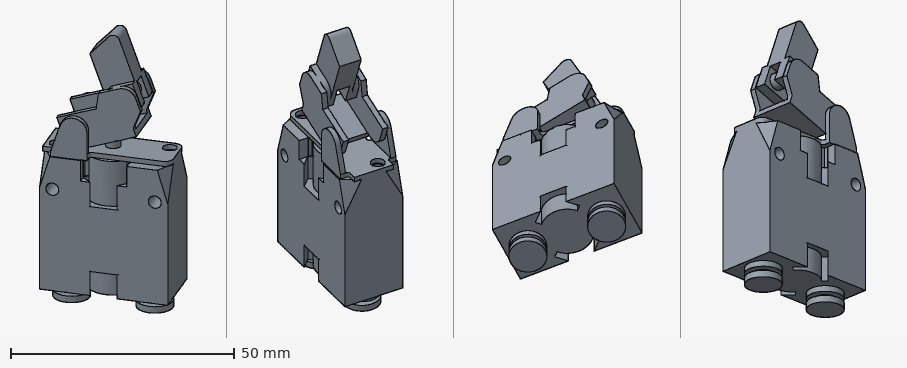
import cadquery as cq
import math

BODY_LENGTH = 30.0
BODY_DEPTH = 15.0
BODY_HEIGHT = 32.95

BEVEL_X = 2.45
BEVEL_Y = 4.3
BEVEL_Z = 8.05

CORE_RADIUS = 6.05
POCKET_MOUTH = 6.3
POCKET_WIDEST = 10.9
POCKET_FLOOR_Z = 21.9
BOTTOM_POCKET_HEIGHT = 5.9
RECESS_WIDTH = 10.8
RECESS_FLOOR_Z = 27.9
RECESS_BACK_Y = 4.1

CROSS_HOLE_DIAMETER = 3.0
CROSS_HOLE_X = 12.0
CROSS_HOLE_Z = 25.0

SCREW_HOLE_DIAMETER = 2.45
SCREW_CLEARANCE_DIAMETER = 3.25
SCREW_HOLE_DEPTH = 6.85
SCREW_X = 12.5
SCREW_Y = 2.45

FITTING_X = 9.7
FLANGE_DIAMETER = 8.5
NECK_DIAMETER = 5.0
UPPER_FLANGE_HEIGHT = 1.4
NECK_HEIGHT = 1.0
LOWER_FLANGE_HEIGHT = 1.6

PLATE_THICKNESS = 1.2
PLATE_WIDTH = 10.1
PLATE_CORNER_RADIUS = 2.0
LUG_OUTER_Y = 7.2
LUG_THICKNESS = 1.3
LUG_LEFT_X = -12.5
LUG_RADIUS = 3.25
LUG_AXIS_X = -7.25
LUG_AXIS_Z = 39.7
LUG_LEFT_FILLET = 0.5
LUG_RIGHT_FILLET = 0.7
LUG_RIGHT_X = LUG_AXIS_X + LUG_RADIUS
LUG_INNER_Y = LUG_OUTER_Y - LUG_THICKNESS
PLATE_TOP_Z = BODY_HEIGHT + PLATE_THICKNESS

PLUNGER_DIAMETER = 3.5
DOME_RADIUS = 2.1

LEVER_TILT = 20.0
LEVER_ORIGIN_X = 2.2
LEVER_ORIGIN_Z = 47.4
LEVER_HALF_WIDTH = 5.8
CHEEK_THICKNESS = 1.4
LEVER_SHIFT_Y = LUG_INNER_Y - LEVER_HALF_WIDTH

HUB_RADIUS = 3.05
FINGER_PIN_U = 2.0
FINGER_PIN_DIAMETER = 4.0

LEVER_BOTTOM_V = -8.9
BASE_THICKNESS = 1.45
BASE_TOP_V = LEVER_BOTTOM_V + BASE_THICKNESS
BASE_LEFT_U = -10.05
BASE_RIGHT_U = 2.0

CHEEK_LEFT_U = -14.7
CHEEK_LEDGE_V = -0.4
CHEEK_STEP_U = -4.9
CHEEK_HEEL_RADIUS = 3.45
CHEEK_NOSE_U = FINGER_PIN_U + HUB_RADIUS
CHEEK_NOSE_V = -3.3
CHEEK_NOTCH_V = -6.8
CHEEK_NOTCH_FILLET = 0.65

FINGER_RIGHT_U = 4.9
FINGER_BOTTOM_V = -2.85
FINGER_WIDTH = 5.6
FINGER_SHOULDER_V = 11.65
FINGER_TIP_ANGLE = 27.0
FINGER_TIP_RADIUS = 1.45
FINGER_SLOT_WIDTH = 3.2
FINGER_SLOT_TOP_V = 2.4


def make_block():
    """Housing block with its four top corners bevelled."""
    block = cq.Workplane("XY").box(BODY_LENGTH, BODY_DEPTH, BODY_HEIGHT, centered=(True, True, False))
    for side_x in (-1, 1):
        for side_y in (-1, 1):
            corner = cq.Vector(side_x * BODY_LENGTH / 2, side_y * BODY_DEPTH / 2, BODY_HEIGHT)
            along_x = corner - cq.Vector(side_x * BEVEL_X, 0, 0)
            along_y = corner - cq.Vector(0, side_y * BEVEL_Y, 0)
            down = corner - cq.Vector(0, 0, BEVEL_Z)
            block = block.cut(make_tetrahedron(corner, along_x, along_y, down))
    return block


def make_tetrahedron(a, b, c, d):
    """Solid with the four given corner points."""
    triangles = [(a, b, c), (a, b, d), (a, c, d), (b, c, d)]
    faces = [cq.Face.makeFromWires(cq.Wire.makePolygon(points, close=True)) for points in triangles]
    return cq.Workplane(obj=cq.Solid.makeSolid(cq.Shell.makeShell(faces)))


def make_flared_pocket(bottom_z, top_z):
    """Cutter that widens at 45 degrees behind its mouth on the -Y face, then narrows again."""
    mouth_x = POCKET_MOUTH / 2
    mouth_y = -BODY_DEPTH / 2
    wide_x = POCKET_WIDEST / 2
    wide_y = mouth_y + (wide_x - mouth_x)
    back_x = wide_x - (-RECESS_BACK_Y - wide_y)
    right_side = [(mouth_x, mouth_y), (wide_x, wide_y), (back_x, -RECESS_BACK_Y)]
    left_side = [(-x, y) for x, y in reversed(right_side)]
    outline = cq.Workplane("XY").workplane(offset=bottom_z).polyline(right_side + left_side).close()
    return outline.extrude(top_z - bottom_z)


def make_face_pockets():
    """Pockets and recess of the -Y face, leaving the round core standing in them."""
    recess_depth = BODY_DEPTH / 2 - RECESS_BACK_Y
    recess = cq.Workplane("XY").box(
        RECESS_WIDTH, recess_depth, BODY_HEIGHT - RECESS_FLOOR_Z, centered=(True, False, False)
    ).translate((0, -BODY_DEPTH / 2, RECESS_FLOOR_Z))
    core = cq.Workplane("XY").circle(CORE_RADIUS).extrude(BODY_HEIGHT)
    top_pocket = make_flared_pocket(POCKET_FLOOR_Z, BODY_HEIGHT).union(recess)
    bottom_pocket = make_flared_pocket(0, BOTTOM_POCKET_HEIGHT)
    return top_pocket.union(bottom_pocket).cut(core)


def make_housing():
    """Block with its pockets, cross holes and screw holes."""
    front_pockets = make_face_pockets()
    housing = make_block().cut(front_pockets).cut(front_pockets.mirror("XZ"))
    cross_holes = (
        cq.Workplane("XZ")
        .pushPoints([(-CROSS_HOLE_X, CROSS_HOLE_Z), (CROSS_HOLE_X, CROSS_HOLE_Z)])
        .circle(CROSS_HOLE_DIAMETER / 2)
        .extrude(BODY_DEPTH, both=True)
    )
    screw_holes = (
        cq.Workplane("XY", origin=(0, 0, BODY_HEIGHT))
        .pushPoints([(-SCREW_X, -SCREW_Y), (SCREW_X, SCREW_Y)])
        .circle(SCREW_HOLE_DIAMETER / 2)
        .extrude(-SCREW_HOLE_DEPTH)
    )
    return housing.cut(cross_holes).cut(screw_holes)


def make_fitting(x):
    """Grooved fitting under the housing."""
    fitting = cq.Workplane("XY", origin=(x, 0, 0)).circle(FLANGE_DIAMETER / 2).extrude(-UPPER_FLANGE_HEIGHT)
    fitting = fitting.faces("<Z").workplane().circle(NECK_DIAMETER / 2).extrude(NECK_HEIGHT)
    return fitting.faces("<Z").workplane().circle(FLANGE_DIAMETER / 2).extrude(LOWER_FLANGE_HEIGHT)


def make_plate():
    """Top plate, widened to the lugs, with the screw clearance holes."""
    half_width = PLATE_WIDTH / 2
    plane = cq.Workplane("XY", origin=(0, 0, BODY_HEIGHT))
    plate = plane.rect(BODY_LENGTH, PLATE_WIDTH).extrude(PLATE_THICKNESS)
    plate = plate.edges("|Z and >X").fillet(PLATE_CORNER_RADIUS)
    lug_strip = (
        plane.moveTo(LUG_LEFT_X - LUG_LEFT_FILLET, half_width)
        .radiusArc((LUG_LEFT_X, half_width + LUG_LEFT_FILLET), -LUG_LEFT_FILLET)
        .lineTo(LUG_LEFT_X, LUG_INNER_Y)
        .lineTo(LUG_RIGHT_X, LUG_INNER_Y)
        .lineTo(LUG_RIGHT_X, half_width + LUG_RIGHT_FILLET)
        .radiusArc((LUG_RIGHT_X + LUG_RIGHT_FILLET, half_width), -LUG_RIGHT_FILLET)
        .lineTo(LUG_RIGHT_X, 0)
        .lineTo(LUG_LEFT_X, 0)
        .close()
        .extrude(PLATE_THICKNESS)
    )
    plate = plate.union(lug_strip).union(lug_strip.mirror("XZ"))
    screw_clearance = (
        plane.pushPoints([(-SCREW_X, -SCREW_Y), (SCREW_X, SCREW_Y)])
        .circle(SCREW_CLEARANCE_DIAMETER / 2)
        .extrude(PLATE_THICKNESS)
    )
    return plate.cut(screw_clearance)


def make_lug():
    """Upright lug at -Y: a round top whose left side slopes tangentially to the plate's top."""
    foot_x = LUG_LEFT_X - LUG_AXIS_X
    foot_z = PLATE_TOP_Z - LUG_AXIS_Z
    foot_distance = math.hypot(foot_x, foot_z)
    tangent_angle = math.atan2(foot_z, foot_x) - math.acos(LUG_RADIUS / foot_distance)
    tangent_x = LUG_AXIS_X + LUG_RADIUS * math.cos(tangent_angle)
    tangent_z = LUG_AXIS_Z + LUG_RADIUS * math.sin(tangent_angle)
    return (
        cq.Workplane("XZ", origin=(0, -LUG_INNER_Y, 0))
        .moveTo(LUG_LEFT_X, BODY_HEIGHT)
        .lineTo(LUG_RIGHT_X, BODY_HEIGHT)
        .lineTo(LUG_RIGHT_X, LUG_AXIS_Z)
        .threePointArc((LUG_AXIS_X, LUG_AXIS_Z + LUG_RADIUS), (tangent_x, tangent_z))
        .lineTo(LUG_LEFT_X, PLATE_TOP_Z)
        .close()
        .extrude(LUG_THICKNESS)
    )


def make_bracket():
    """Plate with a lug on each side."""
    lug = make_lug()
    return make_plate().union(lug).union(lug.mirror("XZ"))


def make_plunger():
    """Plunger that stands on the plate, with a dome that just touches the underside of the lever's base."""
    tilt = math.radians(LEVER_TILT)
    base_height = LEVER_ORIGIN_Z - LEVER_ORIGIN_X * math.tan(tilt) + LEVER_BOTTOM_V / math.cos(tilt)
    dome_centre_z = base_height - DOME_RADIUS / math.cos(tilt)
    rim_radius = PLUNGER_DIAMETER / 2
    rim_z = dome_centre_z + math.sqrt(DOME_RADIUS**2 - rim_radius**2)
    stem = cq.Workplane("XY", origin=(0, 0, PLATE_TOP_Z)).circle(rim_radius).extrude(rim_z - PLATE_TOP_Z)
    dome_blank = cq.Workplane("XY", origin=(0, 0, rim_z)).circle(rim_radius).extrude(DOME_RADIUS)
    ball = cq.Workplane("XY", origin=(0, 0, dome_centre_z)).sphere(DOME_RADIUS)
    return stem.union(dome_blank.intersect(ball))


def make_valve_body():
    """Housing, fittings, bracket and plunger as one solid."""
    valve = make_housing().union(make_bracket()).union(make_plunger())
    for x in (-FITTING_X, FITTING_X):
        valve = valve.union(make_fitting(x))
    return valve


def lever_plane(distance=0.0):
    """Plane with axes u and v, moved towards -Y from the lever's middle by the given distance."""
    tilt = math.radians(LEVER_TILT)
    return cq.Workplane(
        cq.Plane(
            origin=(LEVER_ORIGIN_X, LEVER_SHIFT_Y - distance, LEVER_ORIGIN_Z),
            xDir=(math.cos(tilt), 0, math.sin(tilt)),
            normal=(0, -1, 0),
        )
    )


def make_cheek(distance):
    """Side plate of the lever, whose +Y face is at the given distance from the lever's middle."""
    heel_u = CHEEK_LEFT_U + CHEEK_HEEL_RADIUS
    heel_top_v = BASE_TOP_V + CHEEK_HEEL_RADIUS
    cheek = (
        lever_plane(distance)
        .moveTo(BASE_LEFT_U, LEVER_BOTTOM_V)
        .lineTo(BASE_RIGHT_U, LEVER_BOTTOM_V)
        .lineTo(BASE_RIGHT_U, CHEEK_NOTCH_V)
        .lineTo(CHEEK_NOSE_U, CHEEK_NOSE_V)
        .lineTo(CHEEK_NOSE_U, 0)
        .radiusArc((FINGER_PIN_U, HUB_RADIUS), -HUB_RADIUS)
        .lineTo(-HUB_RADIUS, HUB_RADIUS)
        .lineTo(CHEEK_STEP_U, CHEEK_LEDGE_V)
        .lineTo(CHEEK_LEFT_U, CHEEK_LEDGE_V)
        .lineTo(CHEEK_LEFT_U, heel_top_v)
        .radiusArc((heel_u, BASE_TOP_V), -CHEEK_HEEL_RADIUS)
        .lineTo(BASE_LEFT_U, BASE_TOP_V)
        .close()
        .extrude(CHEEK_THICKNESS)
    )
    mid_plane = lever_plane(distance + CHEEK_THICKNESS / 2).plane
    notch_point = mid_plane.toWorldCoords((BASE_RIGHT_U, CHEEK_NOTCH_V))
    return cheek.edges(cq.NearestToPointSelector(notch_point)).fillet(CHEEK_NOTCH_FILLET)


def make_finger():
    """Finger with its wider hub between the cheeks, slotted from below around its pin."""
    inner_half_width = LEVER_HALF_WIDTH - CHEEK_THICKNESS
    tip_angle = math.radians(FINGER_TIP_ANGLE)
    tip_v = FINGER_SHOULDER_V + (FINGER_RIGHT_U + HUB_RADIUS) * math.tan(tip_angle)
    tip_setback = FINGER_TIP_RADIUS / math.tan((math.pi / 2 - tip_angle) / 2)
    tip_start_u = FINGER_RIGHT_U - tip_setback * math.cos(tip_angle)
    tip_start_v = tip_v - tip_setback * math.sin(tip_angle)
    finger = (
        lever_plane()
        .moveTo(-HUB_RADIUS, FINGER_BOTTOM_V)
        .lineTo(FINGER_RIGHT_U, FINGER_BOTTOM_V)
        .lineTo(FINGER_RIGHT_U, tip_v - tip_setback)
        .radiusArc((tip_start_u, tip_start_v), -FINGER_TIP_RADIUS)
        .lineTo(-HUB_RADIUS, FINGER_SHOULDER_V)
        .close()
        .extrude(FINGER_WIDTH / 2, both=True)
    )
    hub = (
        lever_plane()
        .moveTo(-HUB_RADIUS, FINGER_BOTTOM_V)
        .lineTo(FINGER_RIGHT_U, FINGER_BOTTOM_V)
        .lineTo(FINGER_RIGHT_U, HUB_RADIUS)
        .lineTo(0, HUB_RADIUS)
        .radiusArc((-HUB_RADIUS, 0), -HUB_RADIUS)
        .close()
        .extrude(inner_half_width, both=True)
    )
    slot = (
        lever_plane()
        .moveTo(-HUB_RADIUS, FINGER_BOTTOM_V)
        .lineTo(FINGER_RIGHT_U, FINGER_BOTTOM_V)
        .lineTo(FINGER_RIGHT_U, FINGER_SLOT_TOP_V)
        .lineTo(-HUB_RADIUS, FINGER_SLOT_TOP_V)
        .close()
        .extrude(FINGER_SLOT_WIDTH / 2, both=True)
    )
    pin_outline = lever_plane().center(FINGER_PIN_U, 0).circle(FINGER_PIN_DIAMETER / 2)
    pin = pin_outline.extrude(inner_half_width, both=True)
    return finger.union(hub).cut(slot).union(pin)


def make_lever():
    """Channel of a base and two cheeks, with the finger between them, as one solid."""
    base = (
        lever_plane()
        .moveTo(BASE_LEFT_U, LEVER_BOTTOM_V)
        .lineTo(BASE_RIGHT_U, LEVER_BOTTOM_V)
        .lineTo(BASE_RIGHT_U, BASE_TOP_V)
        .lineTo(BASE_LEFT_U, BASE_TOP_V)
        .close()
        .extrude(LEVER_HALF_WIDTH, both=True)
    )
    lever = base.union(make_finger())
    for inner_distance in (-LEVER_HALF_WIDTH, LEVER_HALF_WIDTH - CHEEK_THICKNESS):
        lever = lever.union(make_cheek(inner_distance))
    return lever


valve_body = make_valve_body()
lever = make_lever()

result = cq.Compound.makeCompound([valve_body.solids().val(), lever.solids().val()])